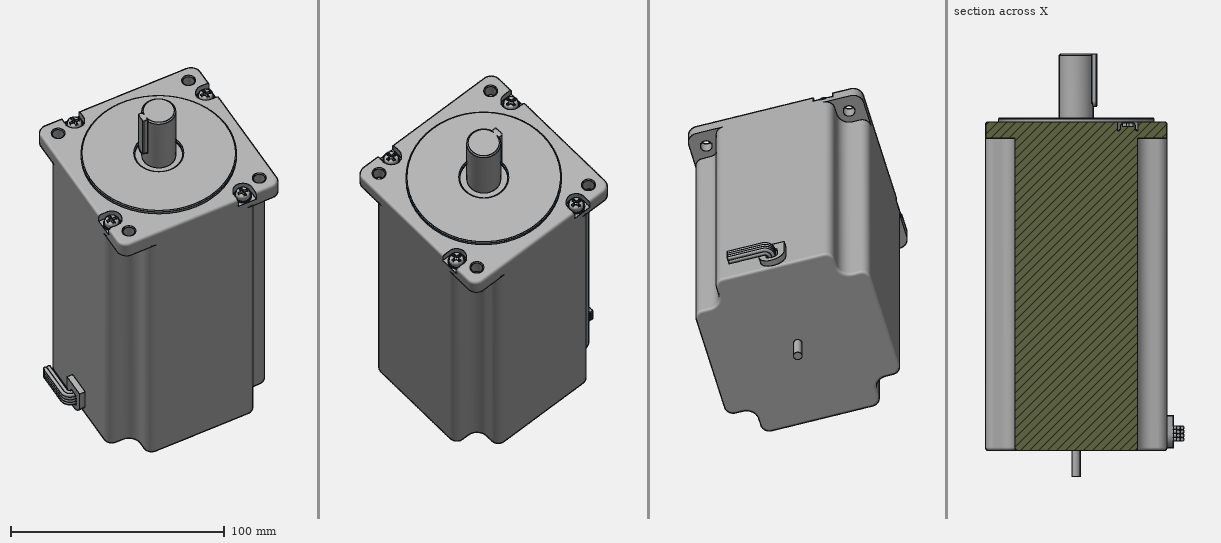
import cadquery as cq
import math


side = 85.2
half_side = side / 2
flange_thickness = 7.75
flange_corner_radius = 5.0
rim_fillet = 1.4
body_bottom_z = -154.25
corner_fillet = 4.2
corner_relief_radius = 6.0

hole_offset = 34.8
hole_diameter = 5.5
hole_chamfer = 0.5

pilot_diameter = 73.0
pilot_height = 1.85
pilot_chamfer = 0.5
shaft_recess_diameter = 23.5
shaft_recess_depth = 1.5
shaft_recess_chamfer = 0.5

overall_height = 198.31
shaft_diameter = 16.0
shaft_top_z = 31.85
shaft_chamfer = 0.7
key_width = 5.0
key_reach = 9.7
key_length = 24.7
key_edge_chamfer = 0.4
keyway_clearance = 0.3
keyway_depth = 0.8
rear_pin_diameter = 4.0
rear_pin_bottom_z = shaft_top_z - overall_height

screw_x = 24.2
screw_y = -38.2
screw_pocket_width = 9.5
screw_pocket_depth = 4.1
screw_head_diameter = 7.0
screw_head_top_z = -0.6
screw_head_fillet = 1.2
washer_diameter = 8.0
washer_thickness = 0.6
cross_length = 4.8
cross_width = 1.2
cross_depth = 1.5

block_width = 12.4
block_top_z = -137.9
block_bottom_z = -152.95
block_face_y = -45.6
outlet_width = 5.4
outlet_height = 7.6
outlet_corner_radius = 1.8
outlet_depth = 1.0
lead_rows = 4
lead_columns = 2
lead_pitch = 1.8
lead_diameter = 1.78
lead_mid_z = -146.25
lead_outer_y = half_side - 93.19
lead_end_x = -20.2
lead_bend_x = -3.2


def cylinder(diameter, bottom_z, top_z):
    """Cylinder on the Z axis between two heights."""
    return cq.Workplane("XY").workplane(offset=bottom_z).circle(diameter / 2).extrude(top_z - bottom_z)


def box_between(x0, x1, y0, y1, z0, z1):
    """Box given by its limits along each axis."""
    return cq.Workplane("XY").box(x1 - x0, y1 - y0, z1 - z0, centered=False).translate((x0, y0, z0))


def countersink(diameter, depth, top_z):
    """45-degree cone on the Z axis that bevels the rim of a hole; it is widest at top_z."""
    rim = cq.Workplane("XY").workplane(offset=top_z).circle(diameter / 2)
    return rim.workplane(offset=-depth).circle(diameter / 2 - depth).loft()


def make_flange():
    flange = (
        cq.Workplane("XY")
        .workplane(offset=-flange_thickness)
        .rect(side, side)
        .extrude(flange_thickness)
        .edges("|Z")
        .fillet(flange_corner_radius)
        .faces(">Z")
        .edges()
        .fillet(rim_fillet)
    )
    pilot = cylinder(pilot_diameter, -flange_thickness, pilot_height).faces(">Z").chamfer(pilot_chamfer)
    floor_z = pilot_height - shaft_recess_depth
    bore = cylinder(shaft_recess_diameter - 2 * shaft_recess_chamfer, floor_z, pilot_height)
    front = flange.union(pilot).cut(bore)
    return front.cut(countersink(shaft_recess_diameter, shaft_recess_chamfer, pilot_height))


def make_body():
    """Square body whose corners are scooped out around the mounting holes."""
    relief_edge = hole_offset - corner_relief_radius
    block_height = -flange_thickness - body_bottom_z
    body = cq.Workplane("XY").workplane(offset=body_bottom_z).rect(side, side).extrude(block_height)
    corner_size = 2 * (half_side - relief_edge)
    reliefs = (
        cq.Workplane("XY")
        .workplane(offset=body_bottom_z)
        .rect(side, side, forConstruction=True)
        .vertices()
        .rect(corner_size, corner_size)
        .extrude(block_height)
        .edges("|Z")
        .fillet(corner_relief_radius)
    )
    body = body.cut(reliefs)
    mouth_edges = body.edges("|Z").filter(is_mouth_edge)
    return mouth_edges.fillet(corner_fillet).faces("<Z").edges().fillet(rim_fillet)


def is_mouth_edge(edge):
    """True for the sharp edges where a corner relief meets a side of the body."""
    centre = edge.Center()
    return max(abs(centre.x), abs(centre.y)) > half_side - 0.01


def drill_mounting_holes(part):
    bevel = countersink(hole_diameter + 2 * hole_chamfer, hole_chamfer, 0)
    drill = cylinder(hole_diameter, -flange_thickness, 0).union(bevel)
    for x in (-hole_offset, hole_offset):
        for y in (-hole_offset, hole_offset):
            part = part.cut(drill.translate((x, y, 0)))
    return part


def key_prism(width, bottom_z, reach):
    """Prism with a round lower end, from the keyway floor out to a distance from the shaft axis."""
    radius = width / 2
    floor_y = keyway_depth - shaft_diameter / 2
    return (
        cq.Workplane("XZ", origin=(0, floor_y, 0))
        .moveTo(-radius, shaft_top_z)
        .lineTo(-radius, bottom_z + radius)
        .threePointArc((0, bottom_z), (radius, bottom_z + radius))
        .lineTo(radius, shaft_top_z)
        .close()
        .extrude(floor_y + reach)
    )


def make_shaft():
    shaft = cylinder(shaft_diameter, -flange_thickness, shaft_top_z).faces(">Z").chamfer(shaft_chamfer)
    key_bottom_z = shaft_top_z - key_length
    keyway_width = key_width + 2 * keyway_clearance
    keyway = key_prism(keyway_width, key_bottom_z - keyway_clearance, shaft_diameter / 2)
    key = key_prism(key_width, key_bottom_z, key_reach)
    key = key.faces("<Y").edges("not >Z").chamfer(key_edge_chamfer)
    return shaft.cut(keyway).union(key)


def make_screw_pocket():
    """Round-ended pocket running out through the -Y side of the flange."""
    half_width = screw_pocket_width / 2
    bottom_z = -screw_pocket_depth
    round_end = cylinder(screw_pocket_width, bottom_z, 0).translate((screw_x, screw_y, 0))
    mouth = box_between(screw_x - half_width, screw_x + half_width, -half_side, screw_y, bottom_z, 0)
    return round_end.union(mouth)


def make_screw():
    """Round screw head with a cross recess, sitting on a washer on the pocket floor."""
    washer_top_z = washer_thickness - screw_pocket_depth
    washer = cylinder(washer_diameter, -screw_pocket_depth, washer_top_z)
    head = cylinder(screw_head_diameter, washer_top_z, screw_head_top_z)
    head = head.faces(">Z").edges().fillet(screw_head_fillet)
    recess_floor = cq.Workplane("XY").workplane(offset=screw_head_top_z - cross_depth)
    head = head.cut(recess_floor.rect(cross_length, cross_width).extrude(cross_depth))
    head = head.cut(recess_floor.rect(cross_width, cross_length).extrude(cross_depth))
    return washer.union(head).translate((screw_x, screw_y, 0))


def add_cover_screws(part):
    pocket = make_screw_pocket()
    screw = make_screw()
    for angle in range(0, 360, 90):
        part = part.cut(pocket.rotate((0, 0, 0), (0, 0, 1), angle))
        part = part.union(screw.rotate((0, 0, 0), (0, 0, 1), angle))
    return part


def make_lead_block():
    """Block with a round lower end and a shallow rounded outlet in its face."""
    radius = block_width / 2
    outlet = (
        cq.Workplane("XZ", origin=(0, block_face_y + outlet_depth, lead_mid_z))
        .rect(outlet_width, outlet_height)
        .extrude(outlet_depth)
        .edges("|Y")
        .fillet(outlet_corner_radius)
    )
    return (
        cq.Workplane("XZ", origin=(0, -half_side, 0))
        .moveTo(-radius, block_top_z)
        .lineTo(-radius, block_bottom_z + radius)
        .threePointArc((0, block_bottom_z), (radius, block_bottom_z + radius))
        .lineTo(radius, block_top_z)
        .close()
        .extrude(-half_side - block_face_y)
        .cut(outlet)
    )


def make_lead(lead_y, lead_z):
    """Lead leaving the outlet toward -Y and bending to run along -X."""
    bend_radius = block_face_y - lead_y
    root_x = lead_bend_x + bend_radius
    bend_mid = bend_radius * math.sqrt(0.5)
    path = (
        cq.Workplane("XY", origin=(0, 0, lead_z))
        .moveTo(root_x, block_face_y + outlet_depth)
        .lineTo(root_x, block_face_y)
        .threePointArc((lead_bend_x + bend_mid, block_face_y - bend_mid), (lead_bend_x, lead_y))
        .lineTo(lead_end_x, lead_y)
    )
    start = cq.Workplane("XZ", origin=(root_x, block_face_y + outlet_depth, lead_z))
    return start.circle(lead_diameter / 2).sweep(path)


def add_leads(part):
    first_y = lead_outer_y + lead_diameter / 2
    first_z = lead_mid_z - lead_pitch * (lead_rows - 1) / 2
    for column in range(lead_columns):
        for row in range(lead_rows):
            part = part.union(make_lead(first_y + column * lead_pitch, first_z + row * lead_pitch))
    return part


result = make_flange().union(make_body())
result = drill_mounting_holes(result)
result = add_cover_screws(result)
result = result.union(make_shaft())
result = result.union(cylinder(rear_pin_diameter, rear_pin_bottom_z, body_bottom_z))
result = result.union(make_lead_block())
result = add_leads(result)